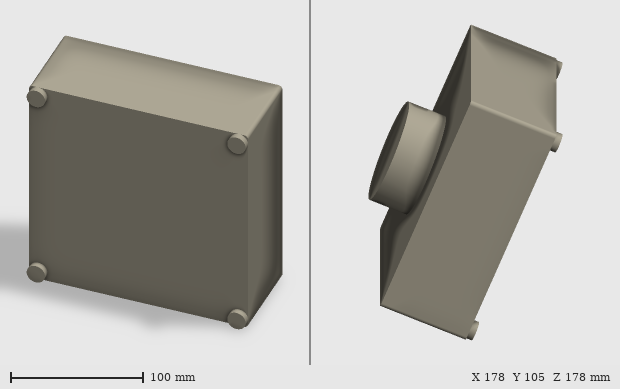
import cadquery as cq

side = 178.0
total_depth = 105.0
corner_radius = 3.0

foot_diameter = 15.0
foot_height = 5.0

spigot_diameter = 80.0
spigot_length = 30.0

housing_depth = total_depth - foot_height - spigot_length
foot_spacing = side - foot_diameter


def front_plane():
    """XZ plane on the housing front face; its normal points toward -Y."""
    return cq.Workplane("XZ")


def make_housing():
    block = front_plane().rect(side, side).extrude(-housing_depth)
    return block.edges("|Y").fillet(corner_radius)


def make_feet():
    return (
        front_plane()
        .rect(foot_spacing, foot_spacing, forConstruction=True)
        .vertices()
        .circle(foot_diameter / 2)
        .extrude(foot_height)
    )


def make_spigot():
    return (
        front_plane()
        .workplane(offset=-housing_depth)
        .circle(spigot_diameter / 2)
        .extrude(-spigot_length)
    )


result = make_housing().union(make_feet()).union(make_spigot())